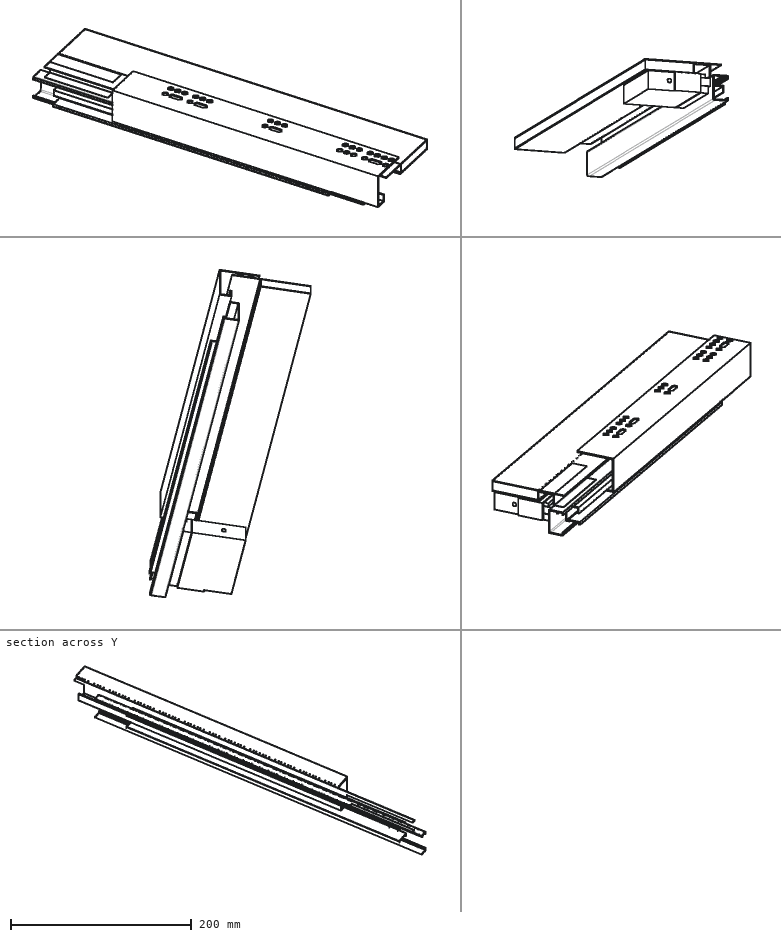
import cadquery as cq


hanger_x = (107.5, 449.0)
hanger_sheet = 1.63
hanger_top = 52.0
hanger_bottom = 11.0
hanger_top_width = 45.0
hook_width = 13.5
hook_top = 20.5

hole_diameter = 6.5
hole_pitch = 9.0
hole_row_y = (24.0, 36.0)
first_group_x = 161.0
group_step = 32.0
middle_group_x = first_group_x + 4 * group_step
last_groups_x = first_group_x + 7 * group_step
slot_length = hole_pitch + hole_diameter

rail_sheet = 1.5
rail_x = (0.0, 424.5)
rail_height = 29.0
rail_back = 27.0
rail_front = 9.0
rail_top_lip_end = 25.5
rail_bottom_lip_end = 3.5
rail_bend_radius = 2.0
rail_inner_radius = 1.5
rib_y = 15.5
rib_depth = 2.0

middle_x = (29.5, 384.0)
middle_back = 20.5
middle_top = 24.0
middle_bottom = 5.0
bead_width = 4.0
bead_step = 1.0
middle_top_front = 4.0
middle_bottom_front = 2.5
middle_top_lip_end = 16.3
middle_bottom_lip_end = 2.5

cover_x = (11.7, 451.5)
cover_sheet = 1.15
cover_top = 44.0
cover_bottom = 30.5
cover_front = 13.5
cover_back = 102.5
cover_wall_y = 45.0
cover_ledge = 1.5

bracket_x = (cover_x[0], 93.0)
bracket_sheet = 1.5
bracket_top_sheet = 2.0
bracket_back = 44.0
bracket_skin = 0.5
bracket_foot = 0.5
bracket_foot_front = 14.5
bracket_top = cover_top - bracket_skin

latch_end = bracket_x[1]
latch_bottom = 9.5
latch_body_start = 10.5
latch_nose_start = 8.0
latch_y = (39.0, 99.5)
latch_step_y = 68.5
latch_hole_y = 74.5
latch_hole_z = 20.8
latch_hole_diameter = 4.5

catch_start = 9.5
catch_recess = 1.0
catch_back = 38.0
catch_z = (17.5, 26.5)
catch_foot_front = 29.0
catch_hook_front = 32.5


def block(x, y, z):
    """Box spanning the given (start, end) ranges."""
    size = (x[1] - x[0], y[1] - y[0], z[1] - z[0])
    return cq.Workplane("XY").box(*size, centered=False).translate((x[0], y[0], z[0]))


def hole_cutters(row_y, positions):
    """Upright cylinders that pierce the hanger's top."""
    return (
        cq.Workplane("XY", origin=(0, row_y, hanger_top - hanger_sheet))
        .pushPoints([(x, 0) for x in positions])
        .circle(hole_diameter / 2)
        .extrude(hanger_sheet)
    )


def slot_cutter(row_y, center_x):
    return (
        cq.Workplane("XY", origin=(center_x, row_y, hanger_top - hanger_sheet))
        .slot2D(slot_length, hole_diameter)
        .extrude(hanger_sheet)
    )


def make_hanger():
    t = hanger_sheet
    body = block(hanger_x, (0, hanger_top_width), (hanger_top - t, hanger_top))
    body = body.union(block(hanger_x, (0, t), (hanger_bottom, hanger_top)))
    body = body.union(block(hanger_x, (0, hook_width), (hanger_bottom, hanger_bottom + t)))
    body = body.union(block(hanger_x, (hook_width - t, hook_width), (hanger_bottom, hook_top)))

    slot_row, hole_row = hole_row_y
    slotted_groups = (first_group_x, first_group_x + group_step, middle_group_x)
    for start in slotted_groups:
        body = body.cut(hole_cutters(hole_row, [start + i * hole_pitch for i in range(3)]))
        body = body.cut(hole_cutters(slot_row, [start]))
        body = body.cut(slot_cutter(slot_row, start + 1.5 * hole_pitch))

    for row in hole_row_y:
        body = body.cut(hole_cutters(row, [last_groups_x + i * hole_pitch for i in range(3)]))

    end_group = last_groups_x + group_step
    body = body.cut(hole_cutters(hole_row, [end_group + i * hole_pitch for i in range(4)]))
    body = body.cut(hole_cutters(slot_row, [end_group, end_group + 3 * hole_pitch]))
    return body.cut(slot_cutter(slot_row, end_group + 1.5 * hole_pitch))


def make_rail():
    """Fixed C rail with rounded outer bends and a rib under its top."""
    t = rail_sheet
    width = (rail_front, rail_back)
    lip = (rail_front, rail_front + t)
    body = block(rail_x, (rail_back - t, rail_back), (0, rail_height))
    body = body.union(block(rail_x, width, (rail_height - t, rail_height)))
    body = body.union(block(rail_x, width, (0, t)))
    inner_bend = cq.selectors.NearestToPointSelector((sum(rail_x) / 2, rail_back - t, t))
    body = body.edges("|X").edges(inner_bend).fillet(rail_inner_radius)
    body = body.union(block(rail_x, lip, (rail_top_lip_end, rail_height)))
    body = body.union(block(rail_x, lip, (0, rail_bottom_lip_end)))
    outer_bends = [(y, z) for y in width for z in (0, rail_height)]
    for y, z in outer_bends:
        bend = cq.selectors.NearestToPointSelector((sum(rail_x) / 2, y, z))
        body = body.edges("|X").edges(bend).fillet(rail_bend_radius)
    rib_top = rail_height - t
    return body.union(block(rail_x, (rib_y, rib_y + t), (rib_top - rib_depth, rib_top)))


def make_middle_rail():
    """Sliding rail whose flanges step outward beside the wall and end in downward lips."""
    t = rail_sheet
    wall_y = (middle_back - t, middle_back)
    bead_y = (middle_back - bead_width, middle_back)
    top_y = (middle_top_front, middle_back - bead_width + t)
    bottom_y = (middle_bottom_front, middle_back - bead_width + t)
    top_z = (middle_top - t, middle_top)
    bottom_z = (middle_bottom, middle_bottom + t)
    top_lip_y = (middle_top_front, middle_top_front + t)
    bottom_lip_y = (middle_bottom_front, middle_bottom_front + t)

    body = block(middle_x, wall_y, (middle_bottom - bead_step, middle_top + bead_step))
    body = body.union(block(middle_x, bead_y, (top_z[0] + bead_step, top_z[1] + bead_step)))
    body = body.union(block(middle_x, bead_y, (bottom_z[0] - bead_step, bottom_z[1] - bead_step)))
    body = body.union(block(middle_x, top_y, top_z))
    body = body.union(block(middle_x, bottom_y, bottom_z))
    body = body.union(block(middle_x, top_lip_y, (middle_top_lip_end, middle_top)))
    return body.union(block(middle_x, bottom_lip_y, (middle_bottom_lip_end, bottom_z[1])))


def make_cover():
    """Thin channel, open toward +Y, whose top overhangs the rails."""
    t = cover_sheet
    folded_y = (cover_wall_y - cover_ledge, cover_back)
    body = block(cover_x, (cover_front, cover_back), (cover_top - t, cover_top))
    body = body.union(block(cover_x, (cover_wall_y, cover_wall_y + t), (cover_bottom, cover_top)))
    body = body.union(block(cover_x, folded_y, (cover_bottom, cover_bottom + t)))
    recess_y = (rail_back - bracket_sheet, bracket_back)
    return body.cut(block(bracket_x, recess_y, (cover_top - t, bracket_top)))


def make_panel():
    """Board that fills the cover channel."""
    t = cover_sheet
    return block(cover_x, (cover_wall_y + t, cover_back), (cover_bottom + t, cover_top - t))


def make_bracket():
    """Z-shaped bracket: foot on the rail, wall, and a top flange let into the cover's underside."""
    wall_y = (rail_back - bracket_sheet, rail_back)
    foot_y = (bracket_foot_front, rail_back)
    flange_y = (wall_y[0], bracket_back)
    body = block(bracket_x, wall_y, (rail_height, bracket_top))
    body = body.union(block(bracket_x, foot_y, (rail_height, rail_height + bracket_foot)))
    return body.union(block(bracket_x, flange_y, (bracket_top - bracket_top_sheet, bracket_top)))


def make_latch():
    height = (latch_bottom, cover_bottom)
    body = block((latch_body_start, latch_end), latch_y, height)
    nose = block((latch_nose_start, latch_end), (latch_y[0], latch_step_y), height)
    bore = (
        cq.Workplane("YZ", origin=(latch_body_start, latch_hole_y, latch_hole_z))
        .circle(latch_hole_diameter / 2)
        .extrude(latch_end - latch_body_start)
    )
    return body.union(nose).cut(bore)


def make_catch():
    """Block between latch and rail, with a recessed foot below and hook above."""
    recessed_x = (catch_start + catch_recess, latch_end)
    body = block((catch_start, latch_end), (rail_back, catch_back), catch_z)
    foot = block(recessed_x, (catch_foot_front, catch_back), (latch_bottom, catch_z[0]))
    hook = block(recessed_x, (catch_hook_front, catch_back), (catch_z[1], cover_bottom))
    return body.union(foot).union(hook)


hanger = make_hanger()
rail = make_rail()
middle_rail = make_middle_rail()
cover = make_cover()
panel = make_panel()
bracket = make_bracket()
latch = make_latch()
catch = make_catch()

result = cq.Compound.makeCompound(
    [
        hanger.val(),
        rail.val(),
        middle_rail.val(),
        cover.val(),
        panel.val(),
        bracket.val(),
        latch.val(),
        catch.val(),
    ]
)